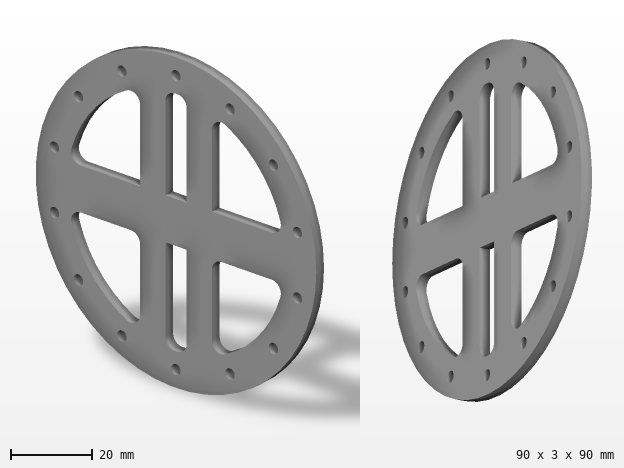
import cadquery as cq

disc_diameter = 90.0
thickness = 3.0

hole_count = 14
hole_circle_radius = 40.0
hole_diameter = 3.0

opening_radius = 35.0
crossbar_half_height = 6.4
slot_half_width = 3.4
window_inner_x = 11.5
corner_radius = 3.0


def prism(x_min, x_max, z_min, z_max):
    """Block through the full thickness."""
    return cq.Workplane("XY").box(
        x_max - x_min, thickness, z_max - z_min, centered=False
    ).translate((x_min, -thickness, z_min))


def disc(radius):
    """Round plate of the full thickness."""
    return cq.Workplane("XZ").circle(radius).extrude(thickness)


def opening(x_min, x_max):
    """Opening above the crossbar, bounded outside by the opening circle."""
    block = prism(x_min, x_max, crossbar_half_height, disc_diameter / 2)
    return block.intersect(disc(opening_radius))


def upper_slot():
    """Central slot: rounded outer end, square inner end."""
    blank = opening(-slot_half_width, slot_half_width)
    return blank.edges("|Y").edges(">Z").fillet(corner_radius)


def upper_window():
    """Right-hand window: outer corners rounded, corner at the web square."""
    blank = opening(window_inner_x, disc_diameter / 2)
    return blank.edges("|Y").edges(">X or >Z").fillet(corner_radius)


def lower_window():
    """Right-hand window below the crossbar, with every corner rounded."""
    blank = opening(window_inner_x, disc_diameter / 2).mirror("XY")
    return blank.edges("|Y").fillet(corner_radius)


result = disc(disc_diameter / 2)

bolt_holes = (
    cq.Workplane("XZ")
    .polarArray(hole_circle_radius, 90, 360, hole_count)
    .circle(hole_diameter / 2)
    .extrude(thickness)
)
result = result.cut(bolt_holes)

slot = upper_slot()
result = result.cut(slot).cut(slot.mirror("XY"))

for window in (upper_window(), lower_window()):
    result = result.cut(window).cut(window.mirror("YZ"))